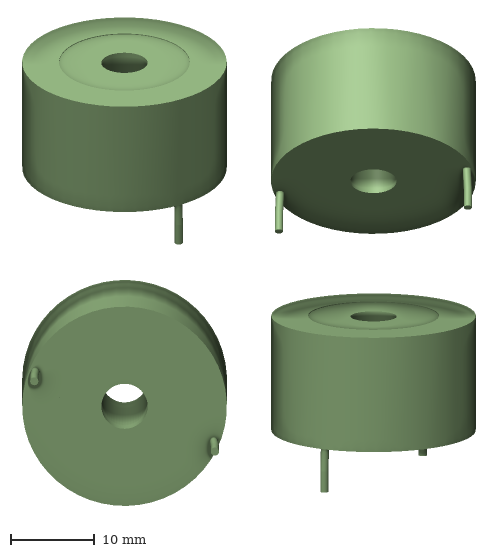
import cadquery as cq

outer_diameter = 24.4
body_height = 13.96
sleeve_wall = 0.59
core_diameter = 15.6
core_recess = 0.1
bore_diameter = 5.52

pin_diameter = 0.98
pin_length = 5.32
pin_neck_length = 0.2
pin_bend_length = 0.1
pin_tip_length = 2.56
pin_root_offset = 11.47
pin_tip_offset = 11.6

ring_diameter = outer_diameter - 2 * sleeve_wall


def make_tube(outside, inside, height):
    """Upright tube standing on Z = 0."""
    return cq.Workplane("XY").circle(outside / 2).circle(inside / 2).extrude(height)


def make_pin(side):
    """Lead below the body; side is -1 or +1 along X."""
    bend_start_z = -pin_neck_length
    bend_end_z = bend_start_z - pin_bend_length
    tip_start_z = pin_tip_length - pin_length
    lean = (pin_tip_offset - pin_root_offset) / (bend_start_z - tip_start_z)
    bend_end_offset = pin_root_offset + lean / 2 * pin_bend_length

    sections = [
        (pin_root_offset, 0),
        (pin_root_offset, bend_start_z),
        (bend_end_offset, bend_end_z),
        (pin_tip_offset, tip_start_z),
        (pin_tip_offset, -pin_length),
    ]
    wires = [
        cq.Wire.makeCircle(pin_diameter / 2, cq.Vector(side * offset, 0, z), cq.Vector(0, 0, 1))
        for offset, z in sections
    ]
    return cq.Solid.makeLoft(wires, True)


sleeve = make_tube(outer_diameter, ring_diameter, body_height)
ring = make_tube(ring_diameter, core_diameter, body_height)
core = make_tube(core_diameter, bore_diameter, body_height - core_recess)
pins = [make_pin(side) for side in (-1, 1)]

result = cq.Compound.makeCompound([sleeve.val(), ring.val(), core.val(), *pins])